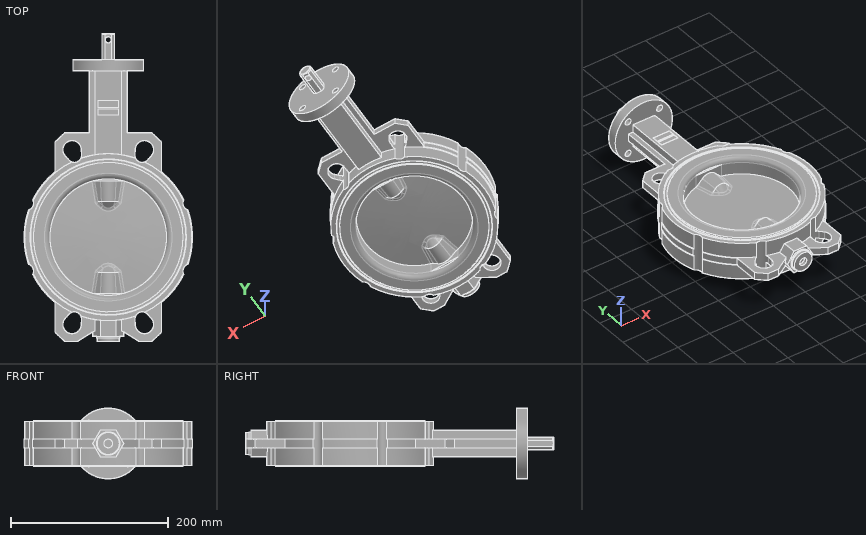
import cadquery as cq
import math


body_radius = 106.0
body_height = 56.2
web_radius = 107.0
web_thickness = 11.0

liner_radius = 94.8
liner_height = 58.0
liner_groove_radius = 98.5
liner_groove_depth = 1.5
body_mouth_chamfer = 0.7
bore_radius = 74.0
bore_lip_radius = 7.0
stem_flat_half_width = 20.0

disc_rim_half_thickness = 4.0
disc_centre_half_thickness = 7.5
disc_seat_overlap = 1.0
hub_root_y = 80.0
hub_shoulder_y = 45.0
hub_tip_y = 34.0
hub_fillet = 5.0

hub_root_section = (23.6, 10.3, 13.2, 17.5)
hub_shoulder_section = (20.2, 8.7, 12.3, 16.2)
hub_tip_section = (11.5, 4.5, 4.5, 5.5)

bolt_count = 8
outer_bolt_pitch_radius = 120.0
outer_bolt_hole_radius = 11.5
inner_bolt_pitch_radius = 112.5
inner_bolt_hole_radius = 9.0

lug_half_width = 67.7
lug_reach = 132.5
lug_chamfer_x = 12.4
lug_chamfer_y = 11.8
lower_lug_inner_x = 39.0
lower_lug_root_x = 16.6
lower_lug_root_y = 118.5

neck_width = 34.2
neck_web_width = 48.3
flange_radius = 45.0
flange_bottom_y = 211.0
flange_thickness = 14.2
flange_bolt_count = 4
flange_bolt_pitch_radius = 35.0
flange_bolt_diameter = 9.0

label_width = 25.4
label_depth = 0.3
label_fields = [(169.1, 8.6), (158.9, 7.4)]

stem_end_y = 258.5
stem_across_flats = 16.0
stem_round_radius = 8.9
stem_chamfer = 1.5
stem_hole_diameter = 7.5
stem_hole_y = 250.3

hex_across_flats = 34.2
hex_end_y = -126.0
plug_collar_radius = 14.8
plug_collar_length = 2.0
plug_radius = 14.0
plug_end_y = -lug_reach
plug_socket_diameter = 11.0
plug_socket_depth = 5.0


def y_plane(y):
    """Work plane across the stem axis whose normal is +Y and whose local y is +Z."""
    return cq.Workplane(cq.Plane(origin=(0, y, 0), xDir=(-1, 0, 0), normal=(0, 1, 0)))


def plate(outline):
    """Extrude an XY outline to the thickness of the central web."""
    return outline.extrude(web_thickness / 2, both=True)


def make_body():
    """Solid round body with raised liner faces and a groove around each face."""
    body = cq.Workplane("XY").circle(body_radius).extrude(body_height / 2, both=True)
    groove_floor = body_height / 2 - liner_groove_depth
    for side in (1, -1):
        profile = (
            cq.Workplane("XZ")
            .moveTo(0, side * groove_floor)
            .lineTo(liner_groove_radius, side * groove_floor)
            .lineTo(liner_groove_radius, side * (body_height / 2 - body_mouth_chamfer))
            .lineTo(liner_groove_radius + body_mouth_chamfer, side * body_height / 2)
            .lineTo(0, side * body_height / 2)
            .close()
        )
        body = body.cut(profile.revolve(360, (0, 0, 0), (0, 1, 0)))
    liner = cq.Workplane("XY").circle(liner_radius).extrude(liner_height / 2, both=True)
    return body.union(liner)


def make_web():
    """Central web: a ring around the body, the four lugs and the neck wings."""
    chamfer_x = lug_half_width - lug_chamfer_x
    chamfer_y = lug_reach - lug_chamfer_y
    right_side = [
        (chamfer_x, lug_reach),
        (lug_half_width, chamfer_y),
        (lug_half_width, -chamfer_y),
        (chamfer_x, -lug_reach),
        (lower_lug_inner_x, -lug_reach),
        (lower_lug_root_x, -lower_lug_root_y),
    ]
    left_side = [(-x, y) for x, y in reversed(right_side)]
    lugs = plate(cq.Workplane("XY").polyline(right_side + left_side).close())
    ring = plate(cq.Workplane("XY").circle(web_radius))
    wings = plate(cq.Workplane("XY").center(0, flange_bottom_y / 2).rect(neck_web_width, flange_bottom_y))
    return ring.union(lugs).union(wings)


def make_neck():
    """Square neck column with its shallow label fields."""
    neck = y_plane(0).rect(neck_width, neck_width).extrude(flange_bottom_y)
    for centre_y, length in label_fields:
        field = (
            cq.Workplane("XY", origin=(0, centre_y, neck_width / 2))
            .rect(label_width, length)
            .extrude(-label_depth)
        )
        neck = neck.cut(field)
    return neck


def make_flange():
    """Round actuator flange with bolt holes on a diagonal square."""
    return (
        y_plane(flange_bottom_y)
        .circle(flange_radius)
        .extrude(flange_thickness)
        .faces(">Y")
        .workplane()
        .polarArray(flange_bolt_pitch_radius, 180 / flange_bolt_count, 360, flange_bolt_count)
        .hole(flange_bolt_diameter)
    )


def make_stem():
    """Square stem end with rounded corners, a chamfered tip and a cross hole."""
    base_y = flange_bottom_y + flange_thickness / 2
    length = stem_end_y - base_y
    square = y_plane(base_y).rect(stem_across_flats, stem_across_flats).extrude(length)
    rod = y_plane(base_y).circle(stem_round_radius).extrude(length).faces(">Y").chamfer(stem_chamfer)
    cross_hole = (
        cq.Workplane("XY")
        .center(0, stem_hole_y)
        .circle(stem_hole_diameter / 2)
        .extrude(stem_across_flats, both=True)
    )
    return square.intersect(rod).cut(cross_hole)


def make_bottom_boss():
    """Hexagonal boss below the body, closed by a round plug with a socket."""
    hex_diameter = hex_across_flats / math.cos(math.radians(30))
    boss = y_plane(hex_end_y).polygon(6, hex_diameter).extrude(-hex_end_y)
    collar = y_plane(hex_end_y).circle(plug_collar_radius).extrude(-plug_collar_length)
    plug = y_plane(plug_end_y).circle(plug_radius).extrude(hex_end_y - plug_end_y)
    socket = y_plane(plug_end_y).circle(plug_socket_diameter / 2).extrude(plug_socket_depth)
    return boss.union(collar).union(plug).cut(socket)


def make_bolt_cutter():
    """Bolt hole on +X: two circles joined by their common tangents."""
    spacing = outer_bolt_pitch_radius - inner_bolt_pitch_radius
    slope = (outer_bolt_hole_radius - inner_bolt_hole_radius) / spacing
    rise = math.sqrt(1 - slope**2)

    def tangent_point(pitch_radius, radius, side):
        return (pitch_radius - slope * radius, side * rise * radius)

    outline = (
        cq.Workplane("XY")
        .moveTo(*tangent_point(inner_bolt_pitch_radius, inner_bolt_hole_radius, 1))
        .threePointArc(
            (inner_bolt_pitch_radius - inner_bolt_hole_radius, 0),
            tangent_point(inner_bolt_pitch_radius, inner_bolt_hole_radius, -1),
        )
        .lineTo(*tangent_point(outer_bolt_pitch_radius, outer_bolt_hole_radius, -1))
        .threePointArc(
            (outer_bolt_pitch_radius + outer_bolt_hole_radius, 0),
            tangent_point(outer_bolt_pitch_radius, outer_bolt_hole_radius, 1),
        )
        .close()
    )
    return outline.extrude(body_height, both=True)


def make_bore_cutter():
    """Bore with rounded lips at both faces and a flat at each end of the stem axis."""
    top = liner_height / 2
    lip_start = top - bore_lip_radius
    lip_mid = bore_lip_radius * (1 - math.sqrt(0.5))
    lip_outer = bore_radius + bore_lip_radius
    bore = (
        cq.Workplane("XZ")
        .moveTo(0, -top)
        .lineTo(lip_outer, -top)
        .threePointArc((bore_radius + lip_mid, -top + lip_mid), (bore_radius, -lip_start))
        .lineTo(bore_radius, lip_start)
        .threePointArc((bore_radius + lip_mid, top - lip_mid), (lip_outer, top))
        .lineTo(0, top)
        .close()
        .revolve(360, (0, 0, 0), (0, 1, 0))
    )
    flat_y = math.sqrt(bore_radius**2 - stem_flat_half_width**2)
    flat_depth = bore_radius - flat_y
    for side in (1, -1):
        pad = cq.Workplane("XY").box(2 * bore_radius, flat_depth, 2 * lip_start)
        bore = bore.cut(pad.translate((0, side * (flat_y + flat_depth / 2), 0)))
    return bore


def hub_section(y, half_base, half_crown, shoulder_z, crown_z):
    """Wire of the hub's upper half at one Y: straight flanks under an arched crown."""
    section = (
        y_plane(y)
        .moveTo(half_base, 0)
        .lineTo(half_crown, shoulder_z)
        .threePointArc((0, crown_z), (-half_crown, shoulder_z))
        .lineTo(-half_base, 0)
        .close()
    )
    return section.val()


def make_hub():
    """Upper half of the hub on +Y: it narrows to a shoulder, then falls to a blunt tip."""
    root = hub_section(hub_root_y, *hub_root_section)
    shoulder = hub_section(hub_shoulder_y, *hub_shoulder_section)
    tip = hub_section(hub_tip_y, *hub_tip_section)
    return cq.Workplane(cq.Solid.makeLoft([root, shoulder, tip], True))


def make_disc():
    """Domed disc with a filleted hub at each end of the stem axis, alike above and below."""
    dome_rise = disc_centre_half_thickness - disc_rim_half_thickness
    dome_radius = (bore_radius**2 + dome_rise**2) / (2 * dome_rise)
    dome_ball = cq.Workplane("XY").sphere(dome_radius)
    dome_ball = dome_ball.translate((0, 0, disc_centre_half_thickness - dome_radius))
    disc_radius = bore_radius + disc_seat_overlap
    upper = cq.Workplane("XY").circle(disc_radius).extrude(2 * disc_centre_half_thickness)
    upper = upper.intersect(dome_ball)
    hub = make_hub()
    upper = upper.union(hub).union(hub.mirror("XZ"))
    hub_foot_limit = bore_radius - disc_seat_overlap
    hub_feet = cq.selectors.BoxSelector(
        (-hub_root_section[0], -hub_foot_limit, disc_rim_half_thickness / 2),
        (hub_root_section[0], hub_foot_limit, disc_centre_half_thickness),
    )
    upper = upper.edges(hub_feet).fillet(hub_fillet)
    upper = upper.intersect(cq.Workplane("XY").circle(disc_radius).extrude(body_height / 2))
    return upper.union(upper.mirror("XY"))


bolt_cutter = make_bolt_cutter()
bolt_spacing_angle = 360 / bolt_count
shell = make_body().union(make_web()).union(make_neck()).union(make_bottom_boss())
for index in range(bolt_count):
    shell = shell.cut(bolt_cutter.rotate((0, 0, 0), (0, 0, 1), (index + 0.5) * bolt_spacing_angle))
shell = shell.cut(make_bore_cutter())
result = shell.union(make_flange()).union(make_stem()).union(make_disc())